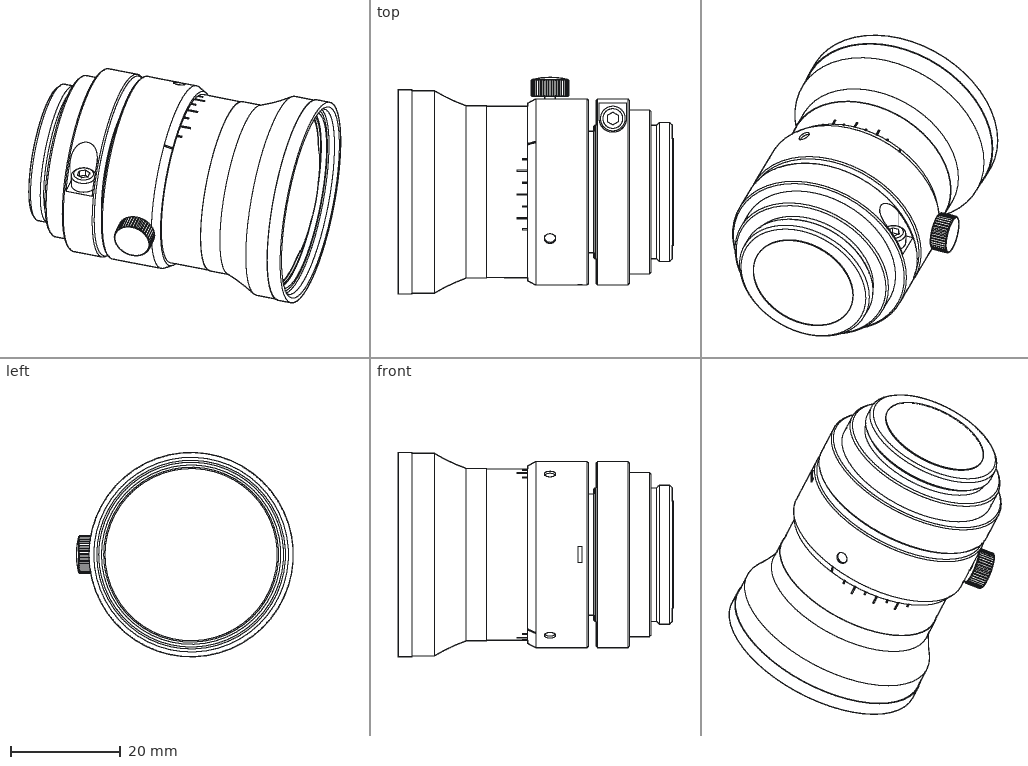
import cadquery as cq
import math


rim_r = 18.65
rim_end = 2.5
hood_r = 18.5
hood_end = 6.6
flare_end = 12.4
flare_mid_r = 16.95

barrel_r = 31.5 / 2
barrel_end = 16.1
scale_r = 31.3 / 2
scale_end = 23.6

ring_r = 17.0
focus_cone_r = 16.2
focus_cone_end = 25.1
focus_end = 34.75
edge_chamfer = 0.3
neck_r = 11.1
neck_end = 35.65
collar_chamfer = 0.25
relief_r = 12.2
clamp_start = 36.1
clamp_end = 42.2

flange_r = 15.0
flange_end = 46.15
flange_chamfer = 0.35
mount_r = 25.4 / 2
mount_start = 47.15
mount_end = 50.0
mount_chamfer = 0.5
tail_r = 19.5 / 2
overall_length = 50.2

mouth_r = 17.75
mouth_depth = 0.75
recess_r = 17.2
recess_depth = 1.8
seat_outer_r = 16.85
seat_depth = 2.0
retainer_r = 16.35
retainer_depth = 3.0
lens_seat_r = 15.95
lens_apex = 0.1
lens_edge_r = 15.7
lens_edge = 3.4
lens_curve_r = (lens_edge_r ** 2 + (lens_edge - lens_apex) ** 2) / (2 * (lens_edge - lens_apex))

knob_x = 27.7
knob_r = 6.9 / 2
knob_teeth = 40
knurl_depth = 0.2
knob_bottom = 17.4
knob_shoulder = 20.54
knob_top = 20.94
knob_chamfer = 0.2
knob_dome_r = knob_r - knob_chamfer
knob_pin_r = 2.0 / 2
knob_pin_start = 15.5

set_hole_r = 2.05 / 2
set_hole_depth = 0.45
set_hole_spacing = 120

screw_x = (clamp_start + clamp_end) / 2
screw_y = 13.4
slot_floor = 5.1
slot_width = 5.0
head_r = 4.5 / 2
head_height = 2.5
head_chamfer = 0.45
hex_across_flats = 2.0
hex_depth = 1.2

mark_depth = 0.06
mark_width = 0.25
tick_count = 7
tick_first_angle = 22.4
tick_pitch = 8.03
short_tick = 0.9
long_tick = 1.9
index_angle = 32.6
window_x = 33.2
window_length = 0.75
window_width = 2.95
window_depth = 0.2


def lens_body():
    """Solid of revolution about X: outside steps, front recess and domed lens."""
    half_edge_r = lens_edge_r / 2
    lens_mid = lens_apex + lens_curve_r - math.sqrt(lens_curve_r ** 2 - half_edge_r ** 2)
    profile = (
        cq.Workplane("XY")
        .moveTo(lens_apex, 0)
        .threePointArc((lens_mid, half_edge_r), (lens_edge, lens_edge_r))
        .lineTo(lens_edge, lens_seat_r)
        .lineTo(retainer_depth, lens_seat_r)
        .lineTo(retainer_depth, retainer_r)
        .lineTo(seat_depth, retainer_r)
        .lineTo(seat_depth, seat_outer_r)
        .lineTo(recess_depth, recess_r)
        .lineTo(mouth_depth, recess_r)
        .lineTo(0, mouth_r)
        .lineTo(0, rim_r)
        .lineTo(rim_end, rim_r)
        .lineTo(rim_end, hood_r)
        .lineTo(hood_end, hood_r)
        .threePointArc(((hood_end + flare_end) / 2, flare_mid_r), (flare_end, barrel_r))
        .lineTo(barrel_end, barrel_r)
        .lineTo(barrel_end, scale_r)
        .lineTo(scale_end, scale_r)
        .lineTo(scale_end, focus_cone_r)
        .lineTo(focus_cone_end, ring_r)
        .lineTo(focus_end - edge_chamfer, ring_r)
        .lineTo(focus_end, ring_r - edge_chamfer)
        .lineTo(focus_end, neck_r)
        .lineTo(neck_end, neck_r)
        .lineTo(neck_end, relief_r - collar_chamfer)
        .lineTo(neck_end + collar_chamfer, relief_r)
        .lineTo(clamp_start, relief_r)
        .lineTo(clamp_start, ring_r - edge_chamfer)
        .lineTo(clamp_start + edge_chamfer, ring_r)
        .lineTo(clamp_end - edge_chamfer, ring_r)
        .lineTo(clamp_end, ring_r - edge_chamfer)
        .lineTo(clamp_end, flange_r)
        .lineTo(flange_end - flange_chamfer, flange_r)
        .lineTo(flange_end, flange_r - flange_chamfer)
        .lineTo(flange_end, relief_r)
        .lineTo(mount_start, relief_r)
        .lineTo(mount_start + mount_chamfer, mount_r)
        .lineTo(mount_end - mount_chamfer, mount_r)
        .lineTo(mount_end, mount_r - mount_chamfer)
        .lineTo(mount_end, tail_r)
        .lineTo(overall_length, tail_r)
        .lineTo(overall_length, 0)
        .close()
    )
    return profile.revolve(360, (0, 0, 0), (1, 0, 0))


def turn_about_axis(body, angle):
    """Turn a body made at the top (+Z) by an angle towards +Y."""
    return body.rotate((0, 0, 0), (1, 0, 0), -angle)


def twice_around(body):
    """The body and its copy on the opposite side of the optical axis."""
    return body.union(turn_about_axis(body, 180))


def lock_knob():
    """Knurled, domed knob on a pin, pointing along +Y."""
    dome_height = knob_top - knob_shoulder
    dome_curve_r = (knob_dome_r ** 2 + dome_height ** 2) / (2 * dome_height)
    half_dome_r = knob_dome_r / 2
    dome_mid = knob_top - dome_curve_r + math.sqrt(dome_curve_r ** 2 - half_dome_r ** 2)
    turned = (
        cq.Workplane("XY")
        .moveTo(0, knob_pin_start)
        .lineTo(knob_pin_r, knob_pin_start)
        .lineTo(knob_pin_r, knob_bottom)
        .lineTo(knob_r - knob_chamfer, knob_bottom)
        .lineTo(knob_r, knob_bottom + knob_chamfer)
        .lineTo(knob_r, knob_shoulder - knob_chamfer)
        .lineTo(knob_dome_r, knob_shoulder)
        .threePointArc((half_dome_r, dome_mid), (0, knob_top))
        .close()
        .revolve(360, (0, 0, 0), (0, 1, 0))
    )
    tooth_points = []
    for i in range(2 * knob_teeth):
        r = knob_r if i % 2 == 0 else knob_r - knurl_depth
        angle = math.pi * i / knob_teeth
        tooth_points.append((r * math.cos(angle), r * math.sin(angle)))
    knurl = cq.Workplane("XZ").polyline(tooth_points).close().extrude(-knob_top)
    return turned.intersect(knurl).translate((knob_x, 0, 0))


def set_screw_holes():
    """Two shallow radial holes which share an even spacing with the knob."""
    knob_angle = 90
    hole = (
        cq.Workplane("XY", origin=(knob_x, 0, ring_r - set_hole_depth))
        .circle(set_hole_r)
        .extrude(2 * set_hole_depth)
    )
    first = turn_about_axis(hole, knob_angle - set_hole_spacing)
    second = turn_about_axis(hole, knob_angle + set_hole_spacing)
    return first.union(second)


def clamp_screw_slot():
    """Slot in the clamp ring, open towards +Y, with a round end at the screw."""
    height = ring_r - slot_floor
    length = ring_r - screw_y
    floor = cq.Workplane("XY", origin=(screw_x, screw_y, slot_floor))
    round_end = floor.circle(slot_width / 2).extrude(height)
    straight = floor.center(0, length / 2).rect(slot_width, length).extrude(height)
    return round_end.union(straight)


def clamp_screw():
    """Socket head standing on the slot floor."""
    return (
        cq.Workplane("XY", origin=(screw_x, screw_y, slot_floor))
        .circle(head_r)
        .extrude(head_height)
        .faces(">Z")
        .chamfer(head_chamfer)
        .faces(">Z")
        .workplane()
        .polygon(6, hex_across_flats, circumscribed=True)
        .cutBlind(-hex_depth)
    )


def aperture_ticks():
    """Scale of alternating short and long lines in front of the focus ring."""
    ticks = cq.Workplane("XY")
    for i in range(tick_count):
        length = short_tick if i % 2 == 0 else long_tick
        tick = cq.Workplane("XY").box(length, mark_width, 2 * mark_depth)
        tick = tick.translate((scale_end - length / 2, 0, scale_r))
        ticks = ticks.union(turn_about_axis(tick, tick_first_angle - i * tick_pitch))
    return ticks


def index_line():
    """Groove along the cone at the front of the focus ring."""
    groove = (
        cq.Workplane("XZ")
        .moveTo(scale_end, focus_cone_r - mark_depth)
        .lineTo(focus_cone_end, ring_r - mark_depth)
        .lineTo(focus_cone_end, ring_r + mark_depth)
        .lineTo(scale_end, focus_cone_r + mark_depth)
        .close()
        .extrude(mark_width / 2, both=True)
    )
    return turn_about_axis(groove, index_angle)


def focus_window():
    """Shallow rectangular recess on the -Y side of the focus ring."""
    recess = cq.Workplane("XY").box(window_length, 2 * window_depth, window_width)
    return recess.translate((window_x, -ring_r, 0))


result = (
    lens_body()
    .cut(set_screw_holes())
    .cut(clamp_screw_slot())
    .cut(twice_around(aperture_ticks()))
    .cut(twice_around(index_line()))
    .cut(focus_window())
    .union(clamp_screw())
    .union(lock_knob())
)